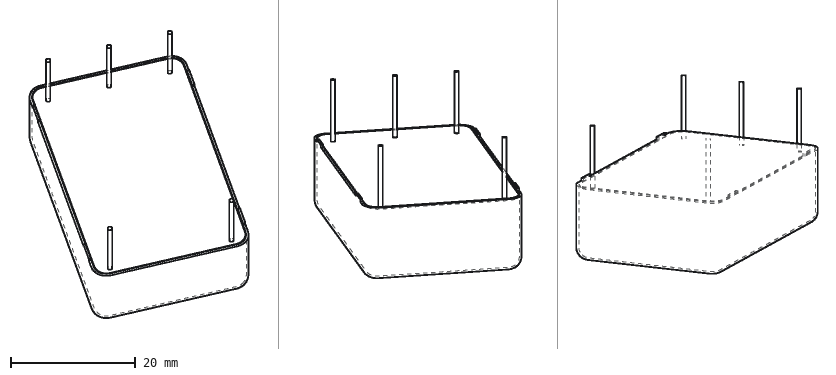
import cadquery as cq

LENGTH = 40.2
WIDTH = 26.2
TOTAL_HEIGHT = 22.3

CASE_HEIGHT = 12.42
WALL = 0.4
CORNER_RADIUS = 2.5
BOTTOM_RADIUS = 2.0

TAB_LENGTH = 3.1
TAB_HEIGHT = 0.4
TAB_OFFSET = 14.65

EDGE_LAND = 0.12
MENISCUS_RADIUS = 0.5

PIN_DIAMETER = 0.72
PIN_HALF_PITCH_X = 17.75
PIN_HALF_PITCH_Y = 10.17
PIN_SHIFT_X = 0.5
PIN_LEFT = PIN_SHIFT_X - PIN_HALF_PITCH_X
PIN_RIGHT = PIN_SHIFT_X + PIN_HALF_PITCH_X
PIN_POSITIONS = [(x, y) for x in (PIN_LEFT, PIN_RIGHT) for y in (-PIN_HALF_PITCH_Y, PIN_HALF_PITCH_Y)]
PIN_POSITIONS.append((PIN_LEFT, 0))

POTTING_SURFACE = CASE_HEIGHT - MENISCUS_RADIUS


def rounded_block(inset, bottom, top, bottom_radius):
    """Block inset from the case outline, with round corners and a round bottom edge."""
    return (
        cq.Workplane("XY")
        .workplane(offset=bottom)
        .rect(LENGTH - 2 * inset, WIDTH - 2 * inset)
        .extrude(top - bottom)
        .edges("|Z")
        .fillet(CORNER_RADIUS - inset)
        .faces("<Z")
        .edges()
        .fillet(bottom_radius)
    )


def cavity_block():
    """The space inside the case walls, up to the rim."""
    return rounded_block(WALL, WALL, CASE_HEIGHT, BOTTOM_RADIUS - WALL)


def make_case():
    shell = rounded_block(0, 0, CASE_HEIGHT, BOTTOM_RADIUS).cut(cavity_block())
    tab_y = (WIDTH - WALL) / 2
    tabs = (
        cq.Workplane("XY")
        .workplane(offset=CASE_HEIGHT)
        .pushPoints([(x, y) for x in (-TAB_OFFSET, TAB_OFFSET) for y in (-tab_y, tab_y)])
        .rect(TAB_LENGTH, WALL)
        .extrude(TAB_HEIGHT)
    )
    return shell.union(tabs)


def make_potting_with_pins():
    """Potting and the pins cast into it, as one solid."""
    hollow = rounded_block(WALL + EDGE_LAND, POTTING_SURFACE, TOTAL_HEIGHT, MENISCUS_RADIUS)
    potting = cavity_block().cut(hollow)
    pins = (
        cq.Workplane("XY")
        .workplane(offset=CASE_HEIGHT / 2)
        .pushPoints(PIN_POSITIONS)
        .circle(PIN_DIAMETER / 2)
        .extrude(TOTAL_HEIGHT - CASE_HEIGHT / 2)
    )
    return potting.union(pins)


case = make_case()
potting_with_pins = make_potting_with_pins()

result = cq.Compound.makeCompound([case.val(), potting_with_pins.val()])